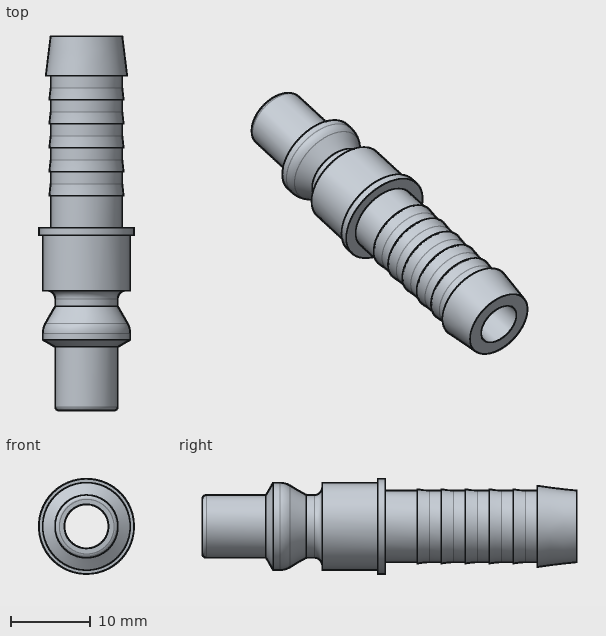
import cadquery as cq
import math

length = 47.0
bore_radius = 5.5 / 2
stem_radius = 7.9 / 2
body_radius = 11.0 / 2
flange_radius = 12.0 / 2
hose_radius = 9.02 / 2

tip_fillet = 0.5
neck_fillet = 1.0

stem_length = 8.0
collar_slope = math.radians(30)
shoulder_start = 9.75
shoulder_radius = 2.5

body_start = 15.05
flange_start = 22.0
flange_end = 23.0

barb_count = 5
barb_pitch = 3.0
barb_length = barb_pitch / 2
barb_radius = 9.35 / 2
first_barb = 27.0
end_barb_radius = 10.25 / 2
end_barb_start = first_barb + barb_count * barb_pitch


def add_collar(profile):
    """Front flank, rim, tangent shoulder arc and rear cone of the locking collar."""
    flank_end = stem_length + (body_radius - stem_radius) * math.tan(collar_slope)
    arc_center = body_radius - shoulder_radius

    def arc_point(angle):
        return (
            arc_center + shoulder_radius * math.cos(angle),
            shoulder_start + shoulder_radius * math.sin(angle),
        )

    arc_end = arc_point(collar_slope)
    cone_end = arc_end[1] + (arc_end[0] - stem_radius) / math.tan(collar_slope)
    return (
        profile.lineTo(stem_radius, stem_length)
        .lineTo(body_radius, flank_end)
        .lineTo(body_radius, shoulder_start)
        .threePointArc(arc_point(collar_slope / 2), arc_end)
        .lineTo(stem_radius, cone_end)
    )


def add_neck_and_body(profile):
    """Neck filleted into the body face, then the body and its flange."""
    return (
        profile.lineTo(stem_radius, body_start - neck_fillet)
        .radiusArc((stem_radius + neck_fillet, body_start), neck_fillet)
        .lineTo(body_radius, body_start)
        .lineTo(body_radius, flange_start)
        .lineTo(flange_radius, flange_start)
        .lineTo(flange_radius, flange_end)
        .lineTo(hose_radius, flange_end)
    )


def add_barb(profile, start, barb_end, crest_radius):
    """A sharp crest at start, tapering back to the hose tail."""
    return (
        profile.lineTo(hose_radius, start)
        .lineTo(crest_radius, start)
        .lineTo(hose_radius, barb_end)
    )


profile = (
    cq.Workplane("XY")
    .moveTo(bore_radius, 0)
    .lineTo(stem_radius - tip_fillet, 0)
    .radiusArc((stem_radius, tip_fillet), -tip_fillet)
)
profile = add_collar(profile)
profile = add_neck_and_body(profile)
for index in range(barb_count):
    barb_start = first_barb + index * barb_pitch
    profile = add_barb(profile, barb_start, barb_start + barb_length, barb_radius)
profile = add_barb(profile, end_barb_start, length, end_barb_radius)
profile = profile.lineTo(bore_radius, length).close()

result = profile.revolve(360, (0, 0, 0), (0, 1, 0))